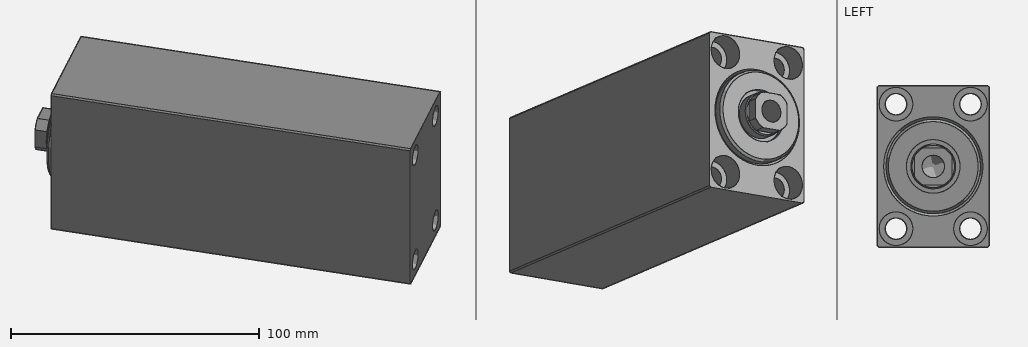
import cadquery as cq
import math

total_length = 161.0
rod_projection = 11.0
gland_projection = 3.0

housing_width = 45.0
housing_height = 65.0
edge_chamfer = 0.6
bolt_spacing_y = 30.0
bolt_spacing_z = 50.0
bolt_hole_diameter = 8.5
bolt_head_diameter = 13.5
bolt_head_depth = 9.7

gland_diameter = 38.0
gland_chamfer = 1.0
gland_depth = 20.0
bore_mouth_chamfer = 1.0
wiper_recess_diameter = 21.5
wiper_recess_depth = 2.0

rod_diameter = 18.0
rod_chamfer = 0.5
nose_length = 5.0
nose_diameter = rod_diameter - 2 * rod_chamfer
nose_across_flats = 15.0
tapped_hole_diameter = 9.0
tapped_hole_depth = 20.0
drill_point_angle = 118.0
drill_point_depth = tapped_hole_diameter / 2 / math.tan(math.radians(drill_point_angle / 2))

front_face = 0.0
rod_tip = front_face - rod_projection
gland_face = front_face - gland_projection
shoulder = rod_tip + nose_length
gland_back = front_face + gland_depth
housing_back = rod_tip + total_length


def cylinder(diameter, x_start, x_end):
    """Cylinder on the X axis between two X positions."""
    return cq.Workplane("YZ", origin=(x_start, 0, 0)).circle(diameter / 2).extrude(x_end - x_start)


def cone(start_diameter, x_start, x_end):
    """Cone on the X axis that narrows to a point at x_end."""
    profile = [(x_start, 0), (x_start, start_diameter / 2), (x_end, 0)]
    return cq.Workplane("XY").polyline(profile).close().revolve(360, (0, 0, 0), (1, 0, 0))


def make_housing():
    length = housing_back - front_face
    block = cq.Workplane("YZ").rect(housing_width, housing_height).extrude(length)
    block = block.edges("|X").chamfer(edge_chamfer)

    bore = cylinder(gland_diameter, front_face, gland_back)
    block = block.cut(bore)
    block = block.faces("<X").edges("%CIRCLE").chamfer(bore_mouth_chamfer)

    bolt_centres = cq.Workplane("YZ").rect(bolt_spacing_y, bolt_spacing_z, forConstruction=True).vertices()
    bolt_holes = bolt_centres.circle(bolt_hole_diameter / 2).extrude(length)
    head_pockets = bolt_centres.circle(bolt_head_diameter / 2).extrude(bolt_head_depth)
    return block.cut(bolt_holes).cut(head_pockets)


def make_gland():
    body = cylinder(gland_diameter, gland_face, gland_back)
    body = body.faces("<X").chamfer(gland_chamfer)
    recess = cylinder(wiper_recess_diameter, gland_face, gland_face + wiper_recess_depth)
    rod_bore = cylinder(rod_diameter, gland_face, gland_back)
    return body.cut(recess).cut(rod_bore)


def make_rod():
    shank = cylinder(rod_diameter, shoulder, gland_back).faces("<X").chamfer(rod_chamfer)

    nose = cylinder(nose_diameter, rod_tip, shoulder)
    flats = cq.Workplane("YZ", origin=(rod_tip, 0, 0)).rect(nose_across_flats, nose_across_flats)
    nose = nose.intersect(flats.extrude(nose_length))

    hole_end = rod_tip + tapped_hole_depth
    hole = cylinder(tapped_hole_diameter, rod_tip, hole_end)
    drill_point = cone(tapped_hole_diameter, hole_end, hole_end + drill_point_depth)
    return shank.union(nose).cut(hole).cut(drill_point)


housing = make_housing()
gland = make_gland()
rod = make_rod()

result = cq.Compound.makeCompound([housing.val(), gland.val(), rod.val()])